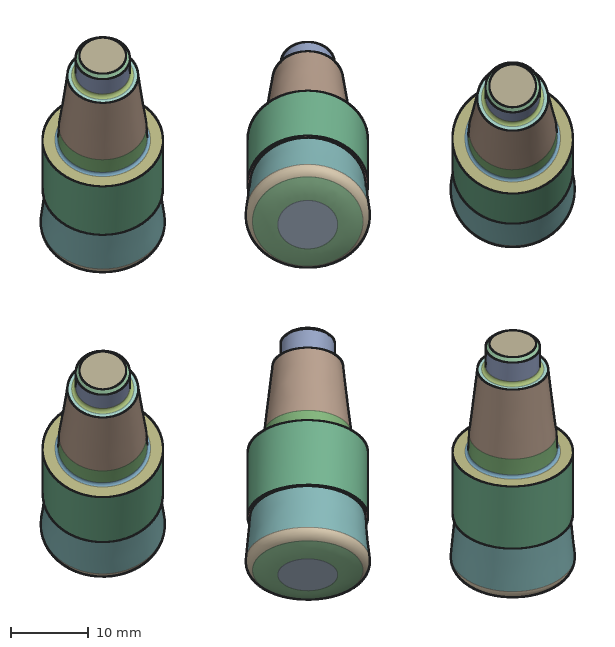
import cadquery as cq
import math

total_height = 35.6

knob_height = 8.8
knob_max_radius = 7.995
knob_flare_angle = math.radians(5)
rim_radius = 1.5
crown_radius = 8.0
crown_angle = math.radians(24)

barrel_radius = 15.5 / 2
nose_height = 13.0
neck_height = 2.8
neck_taper_angle = math.radians(2.5)
neck_root_fillet = 0.4
cone_top_radius = 4.56
cone_taper_angle = math.radians(6)
tip_radius = 7.0 / 2
tip_height = 4.0
tip_chamfer = 0.5
tip_root_fillet = 0.5

cone_top_z = total_height - tip_height
shoulder_z = cone_top_z - nose_height
neck_top_z = shoulder_z + neck_height


def polar(center, radius, angle):
    """Profile point on a circle; the angle is measured up from the outward radial direction."""
    return (center[0] + radius * math.cos(angle), center[1] + radius * math.sin(angle))


def revolve(profile):
    """Turn a closed (radius, height) profile about the Z axis."""
    return profile.close().revolve(360, (0, 0, 0), (0, 1, 0))


def root_fillet(base_radius, base_z, taper, fillet):
    """Start, middle and end of the concave arc between a flat shoulder and a wall narrowing upwards.

    The base radius is where the unfilleted wall would meet the shoulder.
    """
    center_radius = base_radius - fillet * math.tan(taper) + fillet / math.cos(taper)
    center = (center_radius, base_z + fillet)
    on_shoulder = -math.pi / 2
    on_wall = taper - math.pi
    angles = (on_shoulder, (on_shoulder + on_wall) / 2, on_wall)
    return [polar(center, fillet, angle) for angle in angles]


def make_knob():
    rim_center = (
        knob_max_radius - rim_radius,
        crown_radius - (crown_radius - rim_radius) * math.cos(crown_angle),
    )
    crown_center = (
        rim_center[0] - (crown_radius - rim_radius) * math.sin(crown_angle),
        crown_radius,
    )
    flat_edge = (crown_center[0], 0)

    blend_direction = crown_angle - math.pi / 2
    crown_middle = polar(crown_center, crown_radius, (blend_direction - math.pi / 2) / 2)
    crown_end = polar(rim_center, rim_radius, blend_direction)
    rim_middle = polar(rim_center, rim_radius, (blend_direction + knob_flare_angle) / 2)
    rim_end = polar(rim_center, rim_radius, knob_flare_angle)

    top_radius = rim_end[0] - (knob_height - rim_end[1]) * math.tan(knob_flare_angle)
    return revolve(
        cq.Workplane("XZ")
        .lineTo(*flat_edge)
        .threePointArc(crown_middle, crown_end)
        .threePointArc(rim_middle, rim_end)
        .lineTo(top_radius, knob_height)
        .lineTo(0, knob_height)
    )


def make_body():
    neck_top_radius = cone_top_radius + (cone_top_z - neck_top_z) * math.tan(cone_taper_angle)
    neck_base_radius = neck_top_radius + neck_height * math.tan(neck_taper_angle)
    neck_root = root_fillet(neck_base_radius, shoulder_z, neck_taper_angle, neck_root_fillet)
    tip_root = root_fillet(tip_radius, cone_top_z, 0, tip_root_fillet)
    return revolve(
        cq.Workplane("XZ")
        .moveTo(0, knob_height)
        .lineTo(barrel_radius, knob_height)
        .lineTo(barrel_radius, shoulder_z)
        .lineTo(*neck_root[0])
        .threePointArc(*neck_root[1:])
        .lineTo(neck_top_radius, neck_top_z)
        .lineTo(cone_top_radius, cone_top_z)
        .lineTo(*tip_root[0])
        .threePointArc(*tip_root[1:])
        .lineTo(tip_radius, total_height - tip_chamfer)
        .lineTo(tip_radius - tip_chamfer, total_height)
        .lineTo(0, total_height)
    )


knob = make_knob()
body = make_body()

result = cq.Compound.makeCompound([knob.val(), body.val()])